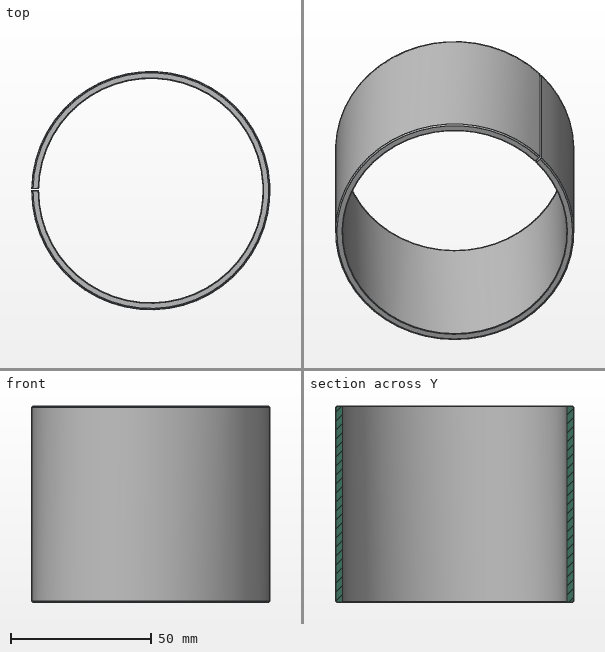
import cadquery as cq

outer_diameter = 85.0
wall_thickness = 2.5
length = 70.0
split_angle = 1.0
outer_chamfer = 0.5
inner_chamfer = 0.2

full_turn = 360.0
outer_radius = outer_diameter / 2
inner_radius = outer_radius - wall_thickness
half_length = length / 2


def wall_section():
    """Wall cross-section on the -X side, with all four rim edges chamfered."""
    return (
        cq.Workplane("XZ")
        .moveTo(-inner_radius, -half_length + inner_chamfer)
        .lineTo(-inner_radius - inner_chamfer, -half_length)
        .lineTo(-outer_radius + outer_chamfer, -half_length)
        .lineTo(-outer_radius, -half_length + outer_chamfer)
        .lineTo(-outer_radius, half_length - outer_chamfer)
        .lineTo(-outer_radius + outer_chamfer, half_length)
        .lineTo(-inner_radius - inner_chamfer, half_length)
        .lineTo(-inner_radius, half_length - inner_chamfer)
        .close()
    )


def split_bushing():
    """Sweep the section counter-clockwise about Z, stopping short of a full turn to leave the split."""
    axis_start = (0, 0, 0)
    axis_end = (0, 1, 0)
    return wall_section().revolve(full_turn - split_angle, axis_start, axis_end)


result = split_bushing()